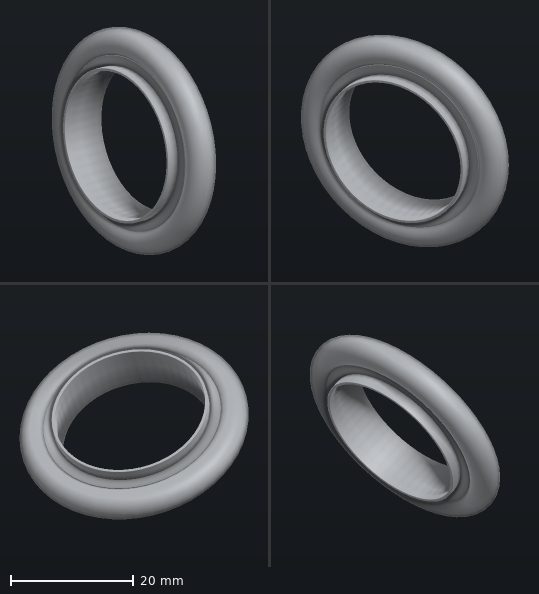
import cadquery as cq
import math

outer_radius = 19.0
cord_radius = 2.5
cord_center_radius = outer_radius - cord_radius

sleeve_length = 8.0
sleeve_radius = 13.0
bore_radius = 12.5
collar_half_width = 1.95
edge_fillet = 0.095
collar_radius = cord_center_radius - math.sqrt(cord_radius**2 - collar_half_width**2)


def make_seal():
    """Round cord swept once around the Y axis."""
    return (
        cq.Workplane("XY")
        .center(cord_center_radius, 0)
        .circle(cord_radius)
        .revolve(360, (-cord_center_radius, 0), (-cord_center_radius, 1))
    )


def make_carrier():
    """Sleeve and collar revolved around Y, with a concave seat for the seal."""
    end = sleeve_length / 2
    seat_bottom = cord_center_radius - cord_radius
    carrier = (
        cq.Workplane("XY")
        .moveTo(bore_radius, -end)
        .lineTo(sleeve_radius, -end)
        .lineTo(sleeve_radius, -collar_half_width)
        .lineTo(collar_radius, -collar_half_width)
        .threePointArc((seat_bottom, 0), (collar_radius, collar_half_width))
        .lineTo(sleeve_radius, collar_half_width)
        .lineTo(sleeve_radius, end)
        .lineTo(bore_radius, end)
        .close()
        .revolve(360, (0, 0), (0, 1))
    )
    carrier = carrier.faces("<Y or >Y").edges().fillet(edge_fillet)
    return carrier.edges(cq.selectors.RadiusNthSelector(-1)).fillet(edge_fillet)


seal = make_seal()
carrier = make_carrier()

result = cq.Compound.makeCompound([seal.val(), carrier.val()])